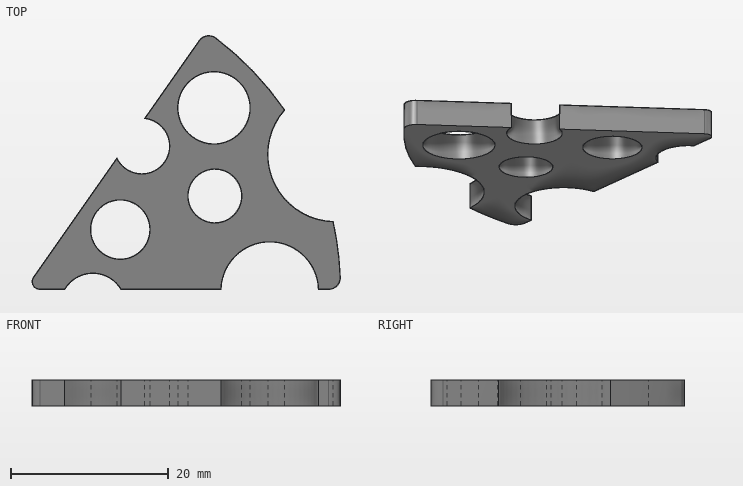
import cadquery as cq
import math

thickness = 3.3
sector_radius = 40.0
sector_angle = 55
tip_radius = 0.98
rim_corner_radius = 1.5

half_angle = math.radians(sector_angle / 2)
apex_x = tip_radius - tip_radius / math.tan(half_angle)

round_holes = [
    (23.05, 23.0, 9.15),
    (23.15, 11.85, 6.8),
    (11.15, 7.58, 7.5),
]
edge_bites = [
    (30.1, -0.15, 12.35),
    (7.7, -2.1, 8.28),
    (13.9, 18.15, 7.03),
    (38.4, 17.1, 17.03),
]


def rim_point(angle):
    """Point on the curved rim at an angle in degrees from the bottom side."""
    turn = math.radians(angle)
    return (apex_x + sector_radius * math.cos(turn), sector_radius * math.sin(turn))


def make_sector():
    plate = (
        cq.Workplane("XY")
        .moveTo(apex_x, 0)
        .lineTo(*rim_point(0))
        .threePointArc(rim_point(sector_angle / 2), rim_point(sector_angle))
        .close()
        .extrude(thickness)
    )
    plate = plate.edges("|Z and <X").fillet(tip_radius)
    for corner in (rim_point(0), rim_point(sector_angle)):
        nearest_edge = cq.selectors.NearestToPointSelector((*corner, thickness / 2))
        plate = plate.edges("|Z").edges(nearest_edge).fillet(rim_corner_radius)
    return plate


def cut_circles(plate, circles):
    for x, y, diameter in circles:
        cutter = cq.Workplane("XY").center(x, y).circle(diameter / 2).extrude(thickness)
        plate = plate.cut(cutter)
    return plate


result = make_sector()
result = cut_circles(result, round_holes)
result = cut_circles(result, edge_bites)